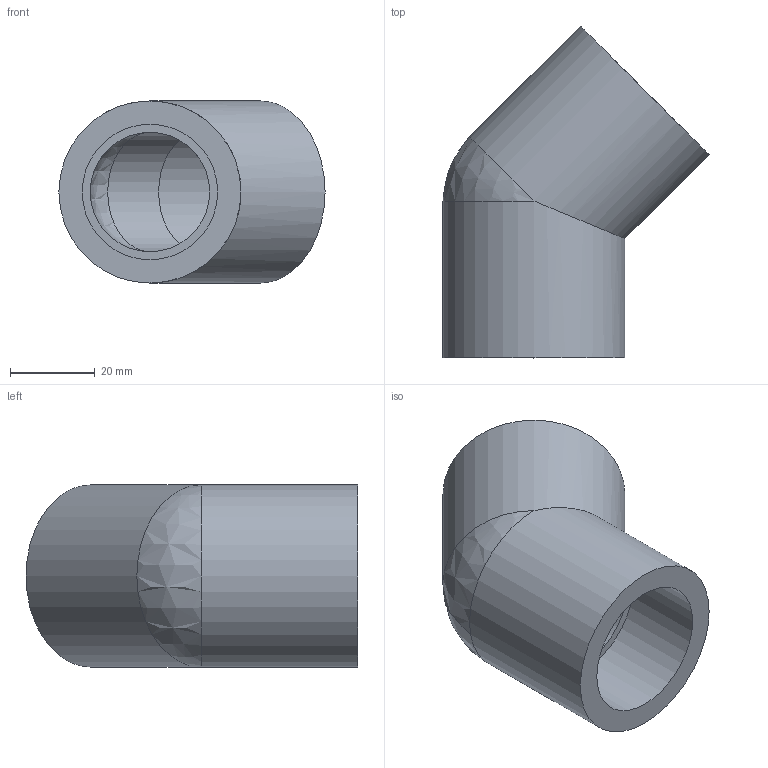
import cadquery as cq

bend_angle = 45.0
outer_diameter = 43.0
leg_length = 37.0
socket_diameter = 32.0
socket_depth = 20.0
bore_diameter = 28.2


def leg_cylinder(diameter, start, end):
    """Cylinder along -Y, between two distances from the axis crossing."""
    plane = cq.Plane(origin=(0, -start, 0), xDir=(1, 0, 0), normal=(0, -1, 0))
    return cq.Workplane(plane).circle(diameter / 2).extrude(end - start)


def turned_to_outlet(leg):
    """Copy of an inlet leg feature, turned about Z onto the outlet leg."""
    return leg.rotate((0, 0, 0), (0, 0, 1), 180 - bend_angle)


def bent_rod(diameter):
    """Two equal legs joined by a ball that rounds the outside of the bend."""
    inlet = leg_cylinder(diameter, 0, leg_length)
    ball = cq.Workplane("XY").sphere(diameter / 2)
    return inlet.union(turned_to_outlet(inlet)).union(ball)


body = bent_rod(outer_diameter)
waterway = bent_rod(bore_diameter)
inlet_socket = leg_cylinder(socket_diameter, leg_length - socket_depth, leg_length)

result = body.cut(waterway).cut(inlet_socket).cut(turned_to_outlet(inlet_socket))